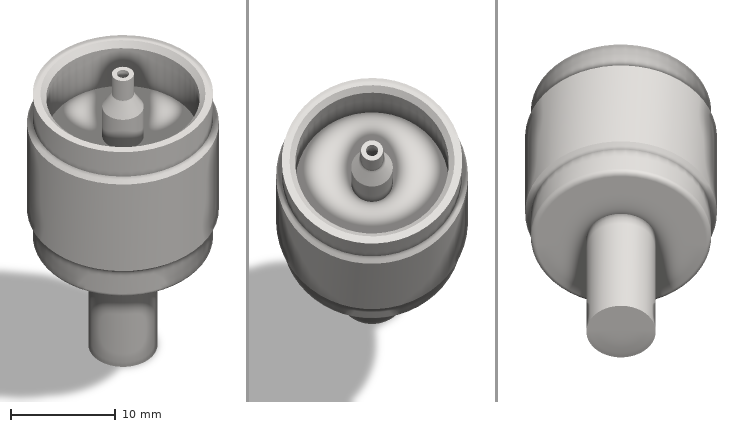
import cadquery as cq

total_height = 34.05
shell_bottom = 13.2
grip_bottom = 16.5
grip_top = 28.5
shell_top = 31.55
cavity_floor = 26.3
pin_cone_bottom = 29.95
pin_cone_top = shell_top

grip_diameter = 18.4
shell_diameter = 17.3
stem_diameter = 6.65
cavity_diameter = 14.7
pin_base_diameter = 4.0
pin_tip_diameter = 2.1
pin_bore_diameter = 1.15

grip_chamfer = (grip_diameter - shell_diameter) / 2
mouth_chamfer = 0.55
shell_fillet = 0.5
pin_bore_depth = 3.4


def cylinder(diameter, bottom, top):
    """Upright cylinder on the Z axis between two heights."""
    return cq.Workplane("XY").workplane(offset=bottom).circle(diameter / 2).extrude(top - bottom)


def make_shell():
    """Coupling shell with a raised grip band and an open cavity at the top."""
    shell = cylinder(shell_diameter, shell_bottom, shell_top).faces("<Z").edges().fillet(shell_fillet)
    grip = cylinder(grip_diameter, grip_bottom, grip_top).edges("%CIRCLE").chamfer(grip_chamfer)
    cavity = cylinder(cavity_diameter, cavity_floor, shell_top)
    shell = shell.union(grip).cut(cavity)
    mouth_edge = cq.selectors.RadiusNthSelector(0)
    return shell.faces(">Z").edges(mouth_edge).chamfer(mouth_chamfer)


def make_pin():
    """Centre contact: thick base, conical shoulder and a bored tip."""
    profile = [
        (0, cavity_floor),
        (pin_base_diameter / 2, cavity_floor),
        (pin_base_diameter / 2, pin_cone_bottom),
        (pin_tip_diameter / 2, pin_cone_top),
        (pin_tip_diameter / 2, total_height),
        (0, total_height),
    ]
    pin = cq.Workplane("XZ").polyline(profile).close().revolve(360, (0, 0, 0), (0, 1, 0))
    return pin.cut(cylinder(pin_bore_diameter, total_height - pin_bore_depth, total_height))


stem = cylinder(stem_diameter, 0, shell_bottom)
result = make_shell().union(stem).union(make_pin())